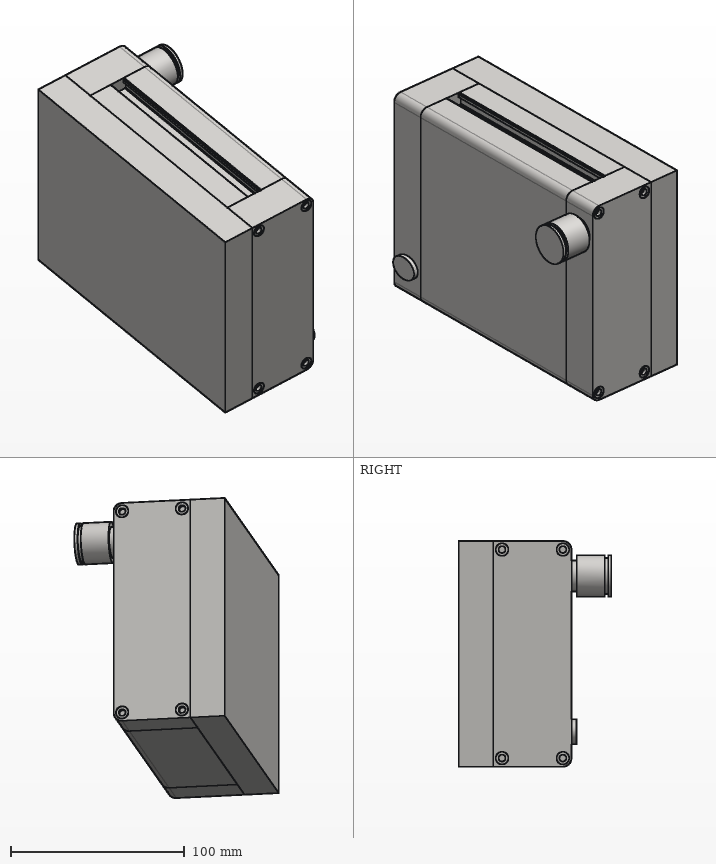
import cadquery as cq

case_width = 172.0
case_depth = 65.0
case_height = 130.0
panel_depth = 20.0
cap_width = 23.0
rear_fillet = 5.0

slot_centre_y = 40.0
mouth_width = 9.8
mouth_depth = 1.0
lip_step = 0.7
lip_depth = 1.9
undercut = 1.2
shelf_depth = 8.1
shelf_step = 0.5
slot_depth = 8.5

screw_inset = rear_fillet
counterbore_diameter = 7.2
counterbore_depth = 0.3
screw_hole_diameter = 4.0
screw_hole_depth = 3.0

fitting_inset_z = 20.2
boss_height = 3.0
collar_diameter = 18.0
knob_diameter = 24.0
knob_length = 20.0
knob_rim = 1.9
groove_width = 1.9
groove_depth = 1.5
button_width = 18.3
button_height = 14.5


def case_slice(left, width):
    """Part of the case behind the front panel, with both rear edges rounded."""
    return (
        cq.Workplane("XY")
        .box(width, case_depth - panel_depth, case_height, centered=False)
        .translate((left, panel_depth, 0))
        .edges("|X and >Y")
        .fillet(rear_fillet)
    )


def rear_plane(centre_x, centre_z):
    """Work plane on the rear face of the case, facing +Y."""
    return cq.Workplane(cq.Plane((centre_x, case_depth, centre_z), xDir=(1, 0, 0), normal=(0, 1, 0)))


def make_front_panel():
    return cq.Workplane("XY").box(case_width, panel_depth, case_height, centered=False)


def make_core():
    length = case_width - 2 * cap_width
    core = case_slice(cap_width, length)
    lip_bottom = mouth_depth + lip_depth
    undercut_width = mouth_width + 2 * undercut
    stages = [
        (mouth_width, 0, mouth_depth),
        (mouth_width - 2 * lip_step, mouth_depth, lip_bottom),
        (undercut_width, lip_bottom, shelf_depth),
        (undercut_width - 2 * shelf_step, shelf_depth, slot_depth),
    ]
    for width, top, bottom in stages:
        stage = (
            cq.Workplane("XY")
            .box(length, width, bottom - top, centered=(True, True, False))
            .translate((case_width / 2, slot_centre_y, case_height - bottom))
        )
        core = core.cut(stage)
    return core


def make_end_cap(left, outer_x, inward):
    """End cap with four counterbored holes running inward from its outer face."""
    cap = case_slice(left, cap_width)
    for y in (panel_depth + screw_inset, case_depth - screw_inset):
        for z in (screw_inset, case_height - screw_inset):
            outer_face = cq.Workplane(cq.Plane((outer_x, y, z), xDir=(0, 1, 0), normal=(inward, 0, 0)))
            cap = cap.cut(outer_face.circle(counterbore_diameter / 2).extrude(counterbore_depth))
            cap = cap.cut(outer_face.circle(screw_hole_diameter / 2).extrude(screw_hole_depth))
    return cap


def add_knob(cap):
    """Collar and grooved knob near the top of the cap's rear face."""
    rear = rear_plane(cap_width / 2, case_height - fitting_inset_z)
    knob_end = boss_height + knob_length
    collar = rear.circle(collar_diameter / 2).extrude(boss_height)
    knob = rear.workplane(offset=boss_height).circle(knob_diameter / 2).extrude(knob_length)
    groove = (
        rear.workplane(offset=knob_end - knob_rim - groove_width)
        .circle(knob_diameter / 2)
        .circle(knob_diameter / 2 - groove_depth)
        .extrude(groove_width)
    )
    return cap.union(collar).union(knob.cut(groove))


def add_button(cap):
    """Low oval boss near the bottom of the cap's rear face."""
    rear = rear_plane(case_width - cap_width / 2, fitting_inset_z)
    return cap.union(rear.ellipse(button_width / 2, button_height / 2).extrude(boss_height))


front_panel = make_front_panel()
core = make_core()
left_cap = add_knob(make_end_cap(0, 0, 1))
right_cap = add_button(make_end_cap(case_width - cap_width, case_width, -1))

result = cq.Compound.makeCompound([front_panel.val(), core.val(), left_cap.val(), right_cap.val()])